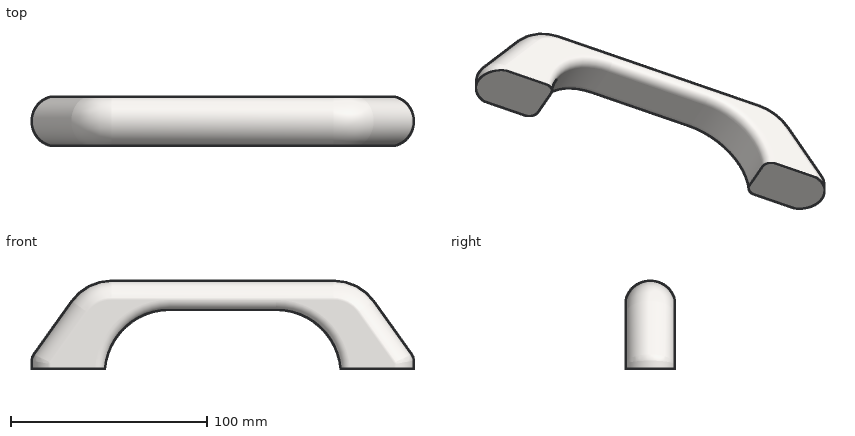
import math

import cadquery as cq

length = 195.0
width = 25.0
height = 45.0

crown_radius = 13.0
crown_depth = 9.9

slope_angle = math.radians(54.5)
elbow_radius = 25.0
elbow_end_x = 56.7

grip_underside_z = 30.0
arch_end_x = 27.4
foot_inner_x = 60.0
underside_fillet = 5.0

foot_bend_fillet = 5.5

half_length = length / 2
half_width = width / 2
rim_x = half_length - crown_depth
rim_z = height - crown_depth
rim_elbow_radius = elbow_radius - crown_depth
elbow_center_z = height - elbow_radius


def elbow_point(angle):
    """Point on the right-hand rim elbow, at an angle measured from vertical."""
    return (
        elbow_end_x + rim_elbow_radius * math.sin(angle),
        elbow_center_z + rim_elbow_radius * math.cos(angle),
    )


elbow_start = elbow_point(slope_angle)
elbow_middle = elbow_point(slope_angle / 2)
foot_bend_z = elbow_start[1] - (rim_x - elbow_start[0]) * math.tan(slope_angle)


def mirrored(point):
    """Matching point of the left-hand half."""
    return (-point[0], point[1])


def rim_path():
    """Line from foot to foot where the rounded crown meets the flat sides."""
    return (
        cq.Workplane("XZ")
        .moveTo(-rim_x, 0)
        .lineTo(-rim_x, foot_bend_z)
        .lineTo(*mirrored(elbow_start))
        .threePointArc(mirrored(elbow_middle), (-elbow_end_x, rim_z))
        .lineTo(elbow_end_x, rim_z)
        .threePointArc(elbow_middle, elbow_start)
        .lineTo(rim_x, foot_bend_z)
        .lineTo(rim_x, 0)
    )


def make_crown():
    """Rounded outer skin, swept along the rim with a mitre at each foot bend."""
    crown_center = crown_radius - crown_depth
    radius_excess = crown_radius**2 - half_width**2 - crown_center**2
    shoulder_radius = radius_excess / (2 * (crown_radius - half_width))
    shoulder_center = half_width - shoulder_radius
    tangent_angle = math.atan2(crown_center, shoulder_center)
    tangent_y = crown_radius * math.cos(tangent_angle)
    tangent_depth = crown_radius * math.sin(tangent_angle) - crown_center
    middle_y = shoulder_center + shoulder_radius * math.cos(tangent_angle / 2)
    middle_depth = shoulder_radius * math.sin(tangent_angle / 2)
    section = (
        cq.Workplane("XY", origin=(-rim_x, 0, 0))
        .moveTo(0, -half_width)
        .threePointArc((-middle_depth, -middle_y), (-tangent_depth, -tangent_y))
        .threePointArc((-crown_depth, 0), (-tangent_depth, tangent_y))
        .threePointArc((-middle_depth, middle_y), (0, half_width))
        .close()
    )
    return section.sweep(rim_path(), transition="right")


def make_core():
    """Flat-sided body between the rim and the underside."""
    arch_run = foot_inner_x - arch_end_x
    arch_radius = (arch_run**2 + grip_underside_z**2) / (2 * grip_underside_z)
    arch_center_z = grip_underside_z - arch_radius
    half_sweep = math.atan2(arch_run, -arch_center_z) / 2
    arch_middle = (
        arch_end_x + arch_radius * math.sin(half_sweep),
        arch_center_z + arch_radius * math.cos(half_sweep),
    )
    return (
        rim_path()
        .lineTo(foot_inner_x, 0)
        .threePointArc(arch_middle, (arch_end_x, grip_underside_z))
        .lineTo(-arch_end_x, grip_underside_z)
        .threePointArc(mirrored(arch_middle), (-foot_inner_x, 0))
        .close()
        .extrude(half_width, both=True)
    )


def soften_underside(core):
    """Round both underside edges; each fillet runs on from the grip along the tangent arches."""
    grip_edges = core.faces(cq.selectors.NearestToPointSelector((0, 0, grip_underside_z))).edges("|X")
    return grip_edges.fillet(underside_fillet)


def soften_foot_bends(body):
    """Round the mitres of the crown where each upright foot meets its sloping leg."""
    mitre_bottom_z = foot_bend_z / 2
    mitre_top_z = foot_bend_z + crown_depth
    mitre_boxes = [
        cq.selectors.BoxSelector(
            (side * rim_x, -half_width, mitre_bottom_z),
            (side * half_length, half_width, mitre_top_z),
        )
        for side in (-1, 1)
    ]
    return body.edges(mitre_boxes[0] + mitre_boxes[1]).edges("%ELLIPSE").fillet(foot_bend_fillet)


core = soften_underside(make_core())
result = soften_foot_bends(core.union(make_crown()))